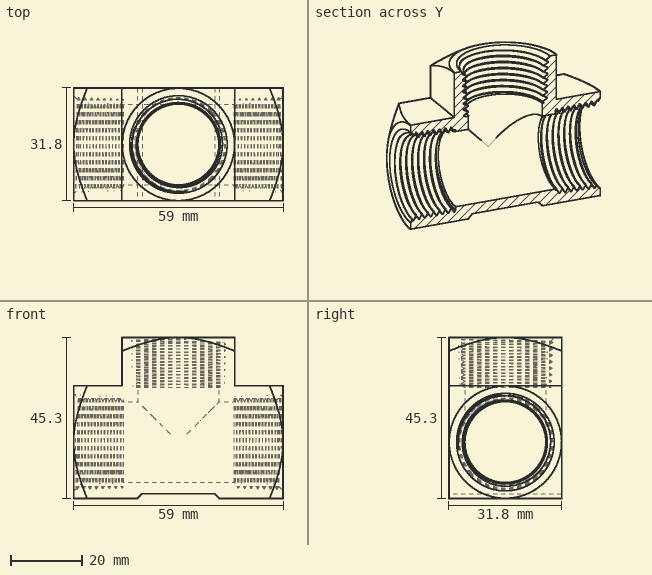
import cadquery as cq
import math

run_length = 58.95
bar_side = 31.75
overall_height = 45.3
half_side = bar_side / 2
axis_height = half_side
branch_length = overall_height - axis_height

end_face_radius = 15.8
end_chamfer_angle = 30.0

relief_depth = 1.35
relief_top_width = 20.4

countersink_radius = 13.75
bore_radius = 11.4
minor_radius = 11.85
taper_slope = 1 / 32
thread_depth = 13.95
thread_turns = 7.7
flank_angle = 30.0
height_to_pitch = 0.8
pitch = thread_depth / thread_turns
thread_height = height_to_pitch * pitch
flank_width = thread_height * math.tan(math.radians(flank_angle))
thread_flat = (pitch - 2 * flank_width) / 2

groove_overlap = 0.6
overrun_turns = 1
boolean_tolerance = 0.0001

trim_clearance = 0.6


def minor_radius_at(z):
    """Thread crest radius at height z, where the port mouth is z = 0."""
    return minor_radius + taper_slope * z


def end_envelope(inner_length):
    """Round bar with a chamfered end at z = 0, reaching inner_length below it."""
    corner_radius = half_side * math.sqrt(2) + trim_clearance
    chamfer_depth = (corner_radius - end_face_radius) * math.tan(math.radians(end_chamfer_angle))
    return (
        cq.Workplane("XZ")
        .polyline([
            (0, 0),
            (end_face_radius, 0),
            (corner_radius, -chamfer_depth),
            (corner_radius, -inner_length),
            (0, -inner_length),
        ])
        .close()
        .revolve(360, (0, 0, 0), (0, 1, 0))
    )


def thread_groove():
    """Helical V groove on the tapered wall, overrunning both ends of the thread."""
    turns_inside = math.ceil(thread_depth / pitch) + overrun_turns
    start_z = -turns_inside * pitch
    helix_height = (turns_inside + overrun_turns) * pitch
    start_radius = minor_radius_at(start_z)
    taper_angle = math.degrees(math.atan(taper_slope))
    helix = cq.Wire.makeHelix(
        pitch, helix_height, start_radius, center=cq.Vector(0, 0, start_z), angle=taper_angle
    )

    root_radius = start_radius + thread_height
    inner_radius = start_radius - groove_overlap
    root_half = thread_flat / 2
    mouth_half = root_half + flank_width
    return (
        cq.Workplane("XZ")
        .polyline([
            (inner_radius, start_z - mouth_half),
            (start_radius, start_z - mouth_half),
            (root_radius, start_z - root_half),
            (root_radius, start_z + root_half),
            (start_radius, start_z + mouth_half),
            (inner_radius, start_z + mouth_half),
        ])
        .close()
        .sweep(cq.Workplane(obj=helix), isFrenet=True)
    )


def cone_between(bottom_z, bottom_radius, top_z, top_radius):
    """Solid cone frustum around the port axis."""
    return (
        cq.Workplane("XZ")
        .polyline([(0, bottom_z), (bottom_radius, bottom_z), (top_radius, top_z), (0, top_z)])
        .close()
        .revolve(360, (0, 0, 0), (0, 1, 0))
    )


def threaded_plug():
    """Space inside the threaded wall, flat at the mouth and at the thread depth."""
    bottom_z = -2 * thread_depth
    top_z = thread_depth
    core = cone_between(bottom_z, minor_radius_at(bottom_z), top_z, minor_radius_at(top_z))
    threaded_zone = cq.Workplane("XY").circle(half_side).extrude(-thread_depth)
    return core.union(thread_groove(), clean=False, tol=boolean_tolerance).intersect(threaded_zone)


def countersink():
    """45 degree lead-in cone at the port mouth."""
    depth = countersink_radius - minor_radius_at(-thread_depth)
    return cone_between(-depth, countersink_radius - depth, 0, countersink_radius)


def tee_blank():
    """Run and branch blocks, each trimmed by the turned chamfers of its ends."""
    run = cq.Workplane("XY").box(run_length, bar_side, bar_side).translate((0, 0, axis_height))
    branch = (
        cq.Workplane("XY")
        .rect(bar_side, bar_side)
        .extrude(-branch_length)
        .intersect(end_envelope(branch_length))
    )
    run_end = end_envelope(run_length)
    return (
        run.intersect(to_left_port(run_end))
        .intersect(to_right_port(run_end))
        .union(to_top_port(branch))
    )


def underside_relief():
    """Trapezoidal channel through the full thickness of the underside."""
    top_half = relief_top_width / 2
    bottom_half = top_half + relief_depth
    return (
        cq.Workplane("XZ")
        .polyline([
            (-bottom_half, 0),
            (-top_half, relief_depth),
            (top_half, relief_depth),
            (bottom_half, 0),
        ])
        .close()
        .extrude(half_side, both=True)
    )


def to_top_port(shape):
    return shape.translate((0, 0, overall_height))


def to_right_port(shape):
    turned = shape.rotate((0, 0, 0), (0, 1, 0), 90)
    return turned.translate((run_length / 2, 0, axis_height))


def to_left_port(shape):
    turned = shape.rotate((0, 0, 0), (0, 1, 0), -90)
    return turned.translate((-run_length / 2, 0, axis_height))


def plain_bore(length):
    """Cylindrical bore running inward from the port mouth."""
    return cq.Workplane("XY").circle(bore_radius).extrude(-length)


run_bore = to_left_port(plain_bore(run_length))
branch_bore = to_top_port(plain_bore(branch_length))
plug = threaded_plug()
lead_in = countersink()

result = tee_blank().cut(underside_relief()).cut(run_bore).cut(branch_bore)
for place in (to_top_port, to_left_port, to_right_port):
    result = result.cut(place(plug)).cut(place(lead_in))